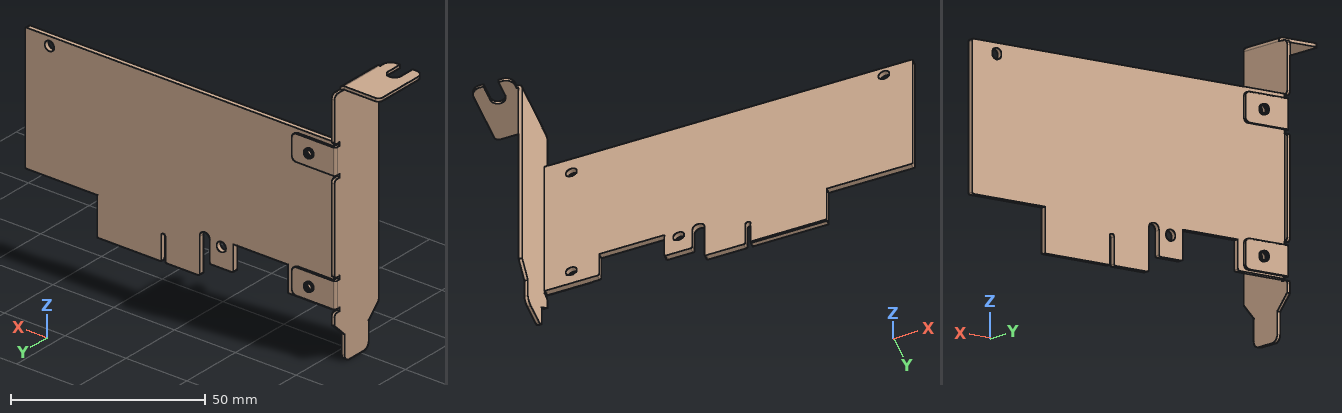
import cadquery as cq
import math


total_height = 80.5
total_depth = 22.2
flange_reach = 12.95
board_length = 101.65

sheet = 1.0
inner_bend = 0.2
outer_bend = inner_bend + sheet

plate_rear = 1.0
plate_front = -17.25
plate_top = 79.2
plate_corner = 1.4
tongue_width = 9.95
taper = (plate_rear - plate_front - tongue_width) / 2
tongue_height = 8.0
tongue_corner = 2.0

flange_rear = -2.5
flange_front = -20.85
flange_rear_corner = 1.3
flange_front_corner = 2.5
ear_gap = 0.5
screw_slot_width = 4.1
screw_slot_x = -7.2
screw_slot_depth = 6.9

tab_thickness = 0.7
tab_bend = 0.7
tab_length = 13.3
tab_height = 8.2
tab_corner = 1.4
tab_z = (20.75, 59.55)
relief_width = 1.0
relief_floor = -1.2
notch_corner = 1.0
collar_diameter = 2.8
collar_bore = 2.5
collar_end = flange_front + total_depth

board_thickness = 1.6
board_top = 64.9
board_corner = 0.5
board_hole = 3.0
mount_hole_x = 7.5
free_holes = ((37.1, 22.2), (93.65, 62.0))
heel_bottom = 16.0
heel_end = 15.2
heel_notch_end = 33.1
heel_notch_top = 24.25
prong_end = 40.9
connector_start = 44.2
hook_slot_top = 24.7
connector_bottom = 11.5
key_start = 55.5
key_end = 56.9
key_top = 19.8
connector_end = 77.9
tail_bottom = 23.85
contact_bevel = 0.3


def make_plate():
    """Flat plate with a tapered tongue and a notch around each mounting tab."""
    tongue_rear = plate_rear - taper
    tongue_front = plate_front + taper
    shoulder = tongue_height + taper
    bend_start = total_height - outer_bend
    plate = (
        cq.Workplane("YZ", origin=(-sheet, 0, 0))
        .polyline([
            (tongue_front, 0),
            (tongue_rear, 0),
            (tongue_rear, tongue_height),
            (plate_rear, shoulder),
            (plate_rear, plate_top),
            (flange_rear, plate_top),
            (flange_rear, bend_start),
            (plate_front, bend_start),
            (plate_front, shoulder),
            (tongue_front, tongue_height),
        ])
        .close()
        .extrude(sheet)
    )
    plate = plate.edges("|X").edges("<Z").fillet(tongue_corner)
    top_corner = cq.selectors.NearestToPointSelector((-sheet / 2, plate_rear, plate_top))
    plate = plate.edges("|X").edges(top_corner).fillet(plate_corner)
    notch_height = tab_height + 2 * relief_width
    for z in tab_z:
        notch = cq.Workplane("XY").box(
            sheet, plate_rear - relief_floor, notch_height, centered=(False, False, True)
        )
        plate = plate.cut(notch.translate((-sheet, relief_floor, z)))
        for end in (-1, 1):
            corner_point = (-sheet / 2, plate_rear, z + end * notch_height / 2)
            corner = cq.selectors.NearestToPointSelector(corner_point)
            plate = plate.edges("|X").edges(corner).fillet(notch_corner)
    return plate


def make_flange():
    """Top flange bent off the plate, with an overhanging ear and an open screw slot."""
    bend_start = total_height - outer_bend
    diagonal = math.sqrt(0.5)
    outer_mid = (outer_bend * (diagonal - 1), bend_start + outer_bend * diagonal)
    inner_mid = (-outer_bend + inner_bend * diagonal, bend_start + inner_bend * diagonal)
    bent = (
        cq.Workplane("XZ", origin=(0, flange_rear, 0))
        .moveTo(-flange_reach, total_height)
        .lineTo(-outer_bend, total_height)
        .threePointArc(outer_mid, (0, bend_start))
        .lineTo(-sheet, bend_start)
        .threePointArc(inner_mid, (-outer_bend, total_height - sheet))
        .lineTo(-flange_reach, total_height - sheet)
        .close()
        .extrude(flange_rear - plate_front)
    )
    bent = bent.edges("|Z and <X and >Y").fillet(flange_rear_corner)
    ear = cq.Workplane("XY").box(
        flange_reach - sheet - ear_gap, plate_front - flange_front, sheet, centered=False
    ).translate((-flange_reach, flange_front, total_height - sheet))
    ear = ear.edges("|Z and <Y").fillet(flange_front_corner)
    slot_tool = (
        cq.Workplane("XY", origin=(screw_slot_x, flange_front, total_height - sheet))
        .slot2D(2 * screw_slot_depth, screw_slot_width, 90)
        .extrude(sheet)
    )
    return bent.union(ear).cut(slot_tool)


def make_tab(z):
    """Mounting tab bent off the plate, with a round-cornered end and a hollow rear collar."""
    bottom = z - tab_height / 2
    leaf = cq.Workplane("XY").box(sheet + tab_length, tab_thickness, tab_height, centered=False)
    root = cq.Workplane("XY").box(sheet, -relief_floor, tab_height, centered=False)
    tab = leaf.translate((-sheet, 0, bottom)).union(root.translate((-sheet, relief_floor, bottom)))
    tab = tab.edges("|Z and <X and >Y").fillet(tab_bend)
    tab = tab.edges("|Y and >X").fillet(tab_corner)
    collar = (
        cq.Workplane("XZ", origin=(mount_hole_x, collar_end, z))
        .circle(collar_diameter / 2)
        .extrude(collar_end - tab_thickness)
    )
    bore = (
        cq.Workplane("XZ", origin=(mount_hole_x, collar_end, z))
        .circle(collar_bore / 2)
        .extrude(collar_end)
    )
    return tab.union(collar).cut(bore)


def make_bracket():
    """One sheet-metal body: plate, top flange and both mounting tabs."""
    bracket = make_plate().union(make_flange())
    for z in tab_z:
        bracket = bracket.union(make_tab(z))
    return bracket


def make_board():
    """Circuit board with a keyed edge connector, notches and four round holes."""
    hook_radius = (connector_start - prong_end) / 2
    key_radius = (key_end - key_start) / 2
    board = (
        cq.Workplane("XZ")
        .moveTo(0, board_top)
        .lineTo(0, heel_bottom)
        .lineTo(heel_end, heel_bottom)
        .lineTo(heel_end, heel_notch_top)
        .lineTo(heel_notch_end, heel_notch_top)
        .lineTo(heel_notch_end, heel_bottom)
        .lineTo(prong_end, heel_bottom)
        .lineTo(prong_end, hook_slot_top - hook_radius)
        .threePointArc(
            (prong_end + hook_radius, hook_slot_top), (connector_start, hook_slot_top - hook_radius)
        )
        .lineTo(connector_start, connector_bottom)
        .lineTo(key_start, connector_bottom)
        .lineTo(key_start, key_top - key_radius)
        .threePointArc((key_start + key_radius, key_top), (key_end, key_top - key_radius))
        .lineTo(key_end, connector_bottom)
        .lineTo(connector_end, connector_bottom)
        .lineTo(connector_end, tail_bottom)
        .lineTo(board_length, tail_bottom)
        .lineTo(board_length, board_top)
        .close()
        .extrude(board_thickness)
    )
    rounded_corners = (
        (0, board_top),
        (0, heel_bottom),
        (heel_end, heel_bottom),
        (heel_notch_end, heel_bottom),
        (prong_end, heel_bottom),
        (connector_start, connector_bottom),
        (key_start, connector_bottom),
        (board_length, tail_bottom),
        (board_length, board_top),
    )
    for x, z in rounded_corners:
        corner = cq.selectors.NearestToPointSelector((x, -board_thickness / 2, z))
        board = board.edges("|Y").edges(corner).fillet(board_corner)
    contact_edge = cq.selectors.NearestToPointSelector(
        ((key_end + connector_end) / 2, -board_thickness, connector_bottom)
    )
    board = board.edges("|X").edges(contact_edge).chamfer(contact_bevel)
    holes = [(mount_hole_x, z) for z in tab_z] + list(free_holes)
    hole_tool = cq.Workplane("XZ").pushPoints(holes).circle(board_hole / 2).extrude(board_thickness)
    return board.cut(hole_tool)


board = make_board()
bracket = make_bracket()
result = cq.Compound.makeCompound([bracket.val(), board.val()])